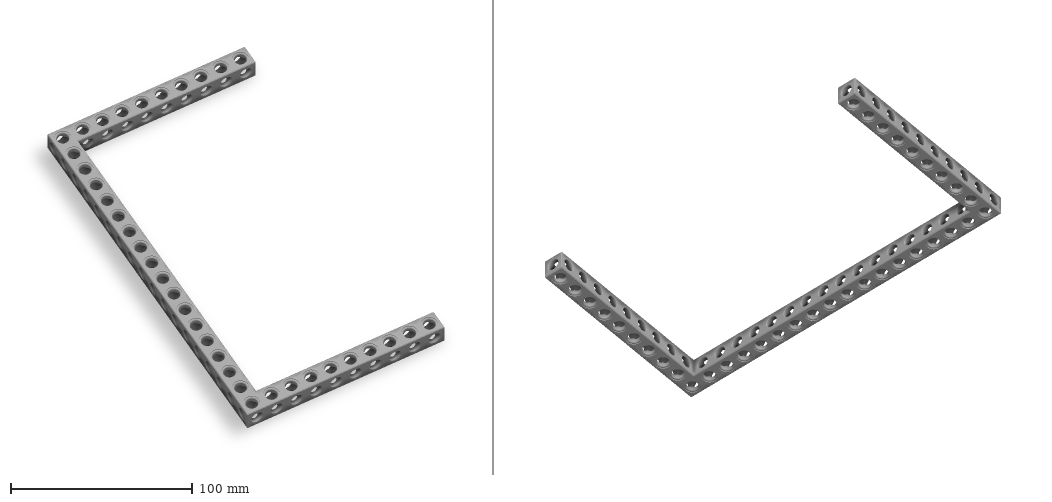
import cadquery as cq

frame_length = 225.0
base_hole_count = 18
arm_hole_count = 10
hole_diameter = 7.0
counterbore_diameter = 9.2
counterbore_depth = 0.5
hole_bevel = 0.34
edge_bevel = 0.5
corner_radius = 0.5

pitch = frame_length / base_hole_count
half_pitch = pitch / 2
arm_length = arm_hole_count * pitch
hole_radius = hole_diameter / 2
counterbore_radius = counterbore_diameter / 2
bevel_radius = hole_radius + hole_bevel

base_axes = [half_pitch + i * pitch for i in range(base_hole_count)]
arm_axes = base_axes[:arm_hole_count]
arm_columns = (base_axes[0], base_axes[-1])


def u_frame():
    """Flat U with a base bar along X, arms along +Y and softened edges."""
    blank = (
        cq.Workplane("XY")
        .polyline([
            (0, 0),
            (frame_length, 0),
            (frame_length, arm_length),
            (frame_length - pitch, arm_length),
            (frame_length - pitch, pitch),
            (pitch, pitch),
            (pitch, arm_length),
            (0, arm_length),
        ])
        .close()
        .extrude(pitch)
    )
    bevelled = blank.faces("<Z or >Z").edges().chamfer(edge_bevel)
    return bevelled.edges("|Z").fillet(corner_radius)


def turned_cutter(half_profile):
    """Solid of revolution about Z from (radius, height) points."""
    return (
        cq.Workplane("XZ")
        .polyline(half_profile)
        .close()
        .revolve(360, (0, 0, 0), (0, 1, 0))
        .val()
    )


def bevelled_hole(length):
    """Through-hole cutter with a small bevel at both mouths."""
    return turned_cutter([
        (0, 0),
        (bevel_radius, 0),
        (hole_radius, hole_bevel),
        (hole_radius, length - hole_bevel),
        (bevel_radius, length),
        (0, length),
    ])


def counterbored_hole():
    """Through-hole cutter, counterbored at both faces, bore mouths bevelled."""
    bore_start = counterbore_depth + hole_bevel
    return turned_cutter([
        (0, 0),
        (counterbore_radius, 0),
        (counterbore_radius, counterbore_depth),
        (bevel_radius, counterbore_depth),
        (hole_radius, bore_start),
        (hole_radius, pitch - bore_start),
        (bevel_radius, pitch - counterbore_depth),
        (counterbore_radius, pitch - counterbore_depth),
        (counterbore_radius, pitch),
        (0, pitch),
    ])


def place_cutters(plane, centres, cutter):
    """Copies of a cutter running along the normal of the plane."""
    copies = cq.Workplane(plane).pushPoints(centres)
    return copies.eachpoint(lambda place: cutter.moved(place), useLocalCoordinates=True)


def holes_along_z():
    base_row = [(x, half_pitch) for x in base_axes]
    arm_rows = [(x, y) for x in arm_columns for y in arm_axes[1:]]
    return place_cutters("XY", base_row + arm_rows, counterbored_hole())


def holes_along_y():
    """Holes across the base bar; the end ones run the full length of the arms."""
    front_face = cq.Plane(origin=(0, 0, 0), xDir=(0, 0, 1), normal=(0, 1, 0))
    across_base = [(half_pitch, x) for x in base_axes[1:-1]]
    along_arms = [(half_pitch, x) for x in arm_columns]
    short_holes = place_cutters(front_face, across_base, bevelled_hole(pitch))
    return short_holes.add(place_cutters(front_face, along_arms, bevelled_hole(arm_length)))


def holes_along_x():
    """Holes across both arms; the first one runs the full length of the base bar."""
    along_base = place_cutters("YZ", [(half_pitch, half_pitch)], bevelled_hole(frame_length))
    across_arm = [(y, half_pitch) for y in arm_axes[1:]]
    cutters = along_base
    for arm_start in (0, frame_length - pitch):
        arm_face = cq.Plane(origin=(arm_start, 0, 0), xDir=(0, 1, 0), normal=(1, 0, 0))
        cutters = cutters.add(place_cutters(arm_face, across_arm, bevelled_hole(pitch)))
    return cutters


drilled_frame = u_frame().cut(holes_along_z()).cut(holes_along_y()).cut(holes_along_x())
result = drilled_frame.solids()